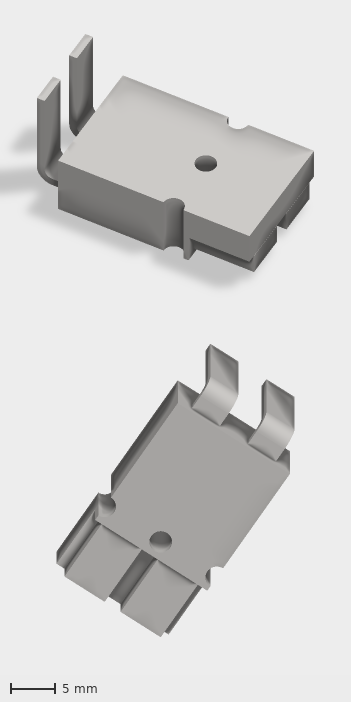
import cadquery as cq

total_length = 28.45
total_height = 14.48
total_width = 15.25

connector_count = 2
housing_width = total_width / connector_count
housing_start = 3.78
housing_height = 7.88

groove_x = 18.65
groove_radius = 1.28

mating_start = 20.6
roof_underside = 3.7
tongue_clearance = 0.05
tongue_bottom = 1.02
tongue_inset = 1.08

contact_width = 3.8
contact_thickness = 1.0
contact_bottom = 1.25
bend_outer_radius = 2 * contact_thickness
bend_inner_radius = bend_outer_radius - contact_thickness


def block(x_min, x_max, width, z_min, z_max):
    """Box between the given X and Z limits, centred on Y = 0."""
    return (
        cq.Workplane("XY", origin=((x_min + x_max) / 2, 0, z_min))
        .box(x_max - x_min, width, z_max - z_min, centered=(True, True, False))
    )


def make_housing():
    """Housing block with its mating end stepped back and a groove in each side."""
    body = block(housing_start, mating_start, housing_width, 0, housing_height)
    roof = block(mating_start, total_length, housing_width, roof_underside, housing_height)
    tongue_width = housing_width - 2 * tongue_inset
    tongue = block(mating_start, total_length, tongue_width, tongue_bottom, roof_underside - tongue_clearance)
    grooves = (
        cq.Workplane("XY")
        .pushPoints([(groove_x, -housing_width / 2), (groove_x, housing_width / 2)])
        .circle(groove_radius)
        .extrude(housing_height)
    )
    return body.union(roof).union(tongue).cut(grooves)


def make_contact():
    """L-shaped strip that leaves the housing and bends upward."""
    strip = (
        cq.Workplane("XZ")
        .moveTo(housing_start, contact_bottom)
        .lineTo(bend_outer_radius, contact_bottom)
        .radiusArc((0, contact_bottom + bend_outer_radius), bend_outer_radius)
        .lineTo(0, total_height)
        .lineTo(contact_thickness, total_height)
        .lineTo(contact_thickness, contact_bottom + bend_outer_radius)
        .radiusArc((bend_outer_radius, contact_bottom + contact_thickness), -bend_inner_radius)
        .lineTo(housing_start, contact_bottom + contact_thickness)
        .close()
    )
    return strip.extrude(contact_width / 2, both=True)


def make_connector(y_center):
    """One connector: a housing and its contact as a single solid."""
    return make_housing().union(make_contact()).translate((0, y_center, 0))


connectors = []
for index in range(connector_count):
    y_center = (index - (connector_count - 1) / 2) * housing_width
    connectors.extend(make_connector(y_center).solids().vals())

result = cq.Compound.makeCompound(connectors)